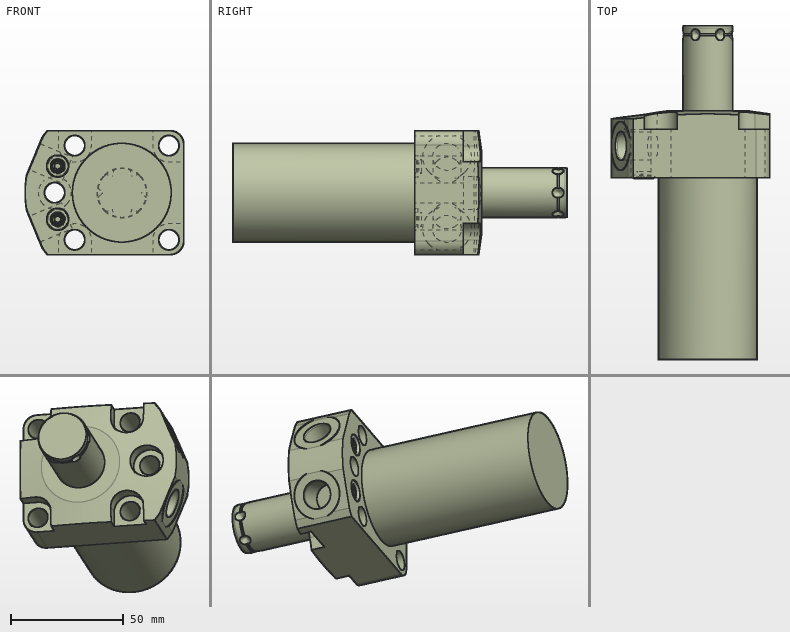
import cadquery as cq
import math


total_length = 149.0
body_length = 81.0
body_radius = 22.0
flange_thickness = 30.0
rod_length = total_length - body_length - flange_thickness
rod_radius = 11.2

flange_half_height = 27.7
flange_right = 27.7
flange_turned_radius = 43.2
corner_radius = 6.3
port_angle = 22.5
port_face_half_angle = 12.0
port_face_distance = flange_turned_radius * math.cos(math.radians(port_face_half_angle))

dome_flat_radius = 17.9
dome_slope = 8.0

mount_offset = 21.0
side_hole_x = -30.0
mount_hole_radius = 4.5
spotface_radius = 7.3
spotface_depth = 8.2

port_y = 14.3
port_spotface_radius = 10.9
port_spotface_depth = 0.3
port_radius = 6.3
port_lead_in_width = 0.22
port_lead_in_depth = 0.7
port_depth = 15.3

plug_distance = 31.0
plug_bore_radius = 4.9
plug_bore_depth = 1.3
ring_tube_radius = 0.9
ring_clearance = 0.07
ring_protrusion = 0.3
plug_gap_radius = 3.1
plug_gap_depth = 3.0
plug_head_radius = 2.8
plug_head_recess = 0.6
plug_head_chamfer = 0.6
socket_sides = 6
socket_width = 2.7
socket_depth = 1.2

rod_chamfer_length = 1.0
rod_chamfer_width = 0.3
dimple_count = 6
dimple_radius = 2.5
dimple_from_end = 4.0
groove_width = 0.9
groove_depth = 0.3

rod_end = flange_thickness + rod_length


def cylinder_y(x, z, radius, y_start, y_end):
    """Cylinder parallel to Y between two Y positions."""
    return cq.Workplane(cq.Solid.makeCylinder(
        radius, y_end - y_start, cq.Vector(x, y_start, z), cq.Vector(0, 1, 0)))


def make_flange():
    """Plate with two inclined port faces, turned on the outside and on the rear."""
    slope = math.radians(port_angle)

    def port_face_x(z):
        return -(port_face_distance - z * math.sin(slope)) / math.cos(slope)

    outline = (
        cq.Workplane("XZ")
        .polyline([
            (flange_right, -flange_half_height),
            (flange_right, flange_half_height),
            (port_face_x(flange_half_height), flange_half_height),
            (port_face_x(0), 0),
            (port_face_x(flange_half_height), -flange_half_height),
        ])
        .close()
        .extrude(-flange_thickness)
        .edges("|Y and >X").fillet(corner_radius)
    )
    dome_drop = (flange_turned_radius - dome_flat_radius) * math.tan(math.radians(dome_slope))
    turned = (
        cq.Workplane("XY")
        .polyline([
            (0, 0),
            (flange_turned_radius, 0),
            (flange_turned_radius, flange_thickness - dome_drop),
            (dome_flat_radius, flange_thickness),
            (0, flange_thickness),
        ])
        .close()
        .revolve(360, (0, 0, 0), (0, 1, 0))
    )
    return outline.intersect(turned)


def spotface_box(x_start, x_end, z_start, z_end):
    """Block from the spotface floors to the rear of the flange."""
    return cq.Workplane("XY").box(
        x_end - x_start, spotface_depth, z_end - z_start, centered=False
    ).translate((x_start, flange_thickness - spotface_depth, z_start))


def cut_mounting_holes(flange):
    """Through holes, spotfaced from the rear; the corner spotfaces run out through the sides."""
    holes = [(x, z) for x in (-mount_offset, mount_offset) for z in (-mount_offset, mount_offset)]
    holes.append((side_hole_x, 0))
    for x, z in holes:
        flange = flange.cut(cylinder_y(x, z, mount_hole_radius, 0, flange_thickness))
        flange = flange.cut(cylinder_y(
            x, z, spotface_radius, flange_thickness - spotface_depth, flange_thickness))

    left_run_out = spotface_box(
        -mount_offset - spotface_radius, -mount_offset + spotface_radius,
        mount_offset, flange_half_height)
    right_run_out = spotface_box(
        mount_offset - spotface_radius, flange_right, mount_offset, flange_half_height
    ).union(spotface_box(
        mount_offset, flange_right, mount_offset - spotface_radius, flange_half_height))
    for run_out in (left_run_out, right_run_out):
        flange = flange.cut(run_out).cut(run_out.mirror("XY"))
    return flange


def cut_port(flange, side):
    """Blind port with a tapered mouth and a shallow spotface; side is +1 or -1 along Z."""
    angle = math.radians(port_angle)
    inward = cq.Vector(math.cos(angle), 0, -side * math.sin(angle))
    floor_distance = port_face_distance - port_spotface_depth
    spotface_floor = inward * -floor_distance + cq.Vector(0, port_y, 0)
    spotface = cq.Solid.makeCylinder(port_spotface_radius, flange_thickness, spotface_floor, inward * -1)
    port = cq.Solid.makeCylinder(port_radius, port_depth, spotface_floor, inward)
    lead_in = cq.Solid.makeCone(
        port_radius + port_lead_in_width, port_radius, port_lead_in_depth, spotface_floor, inward)
    for cutter in (spotface, port, lead_in):
        flange = flange.cut(cq.Workplane(cutter))
    return flange


def add_plug(flange, side):
    """Bore in the mounting face holding a sealing ring and a socket-head plug screw."""
    angle = math.radians(port_angle)
    x = -plug_distance * math.cos(angle)
    z = side * plug_distance * math.sin(angle)
    flange = flange.cut(cylinder_y(x, z, plug_bore_radius, 0, plug_bore_depth))
    flange = flange.cut(cylinder_y(x, z, plug_gap_radius, 0, plug_gap_depth))

    ring = cq.Solid.makeTorus(
        plug_bore_radius - ring_clearance - ring_tube_radius, ring_tube_radius,
        cq.Vector(x, ring_tube_radius - ring_protrusion, z), cq.Vector(0, 1, 0))
    socket = (
        cq.Workplane("XZ", origin=(x, plug_head_recess, z))
        .polygon(socket_sides, socket_width, circumscribed=True)
        .extrude(-socket_depth)
    )
    head = (
        cylinder_y(x, z, plug_head_radius, plug_head_recess, plug_gap_depth)
        .faces("<Y").chamfer(plug_head_chamfer)
        .cut(socket)
    )
    return flange.union(cq.Workplane(ring)).union(head)


def make_rod():
    """Rod with a chamfered end, a shallow groove and conical dimples around it."""
    groove_y = rod_end - dimple_from_end
    rod = (
        cq.Workplane("XY")
        .polyline([
            (0, flange_thickness),
            (rod_radius, flange_thickness),
            (rod_radius, groove_y - groove_width / 2),
            (rod_radius - groove_depth, groove_y - groove_width / 2),
            (rod_radius - groove_depth, groove_y + groove_width / 2),
            (rod_radius, groove_y + groove_width / 2),
            (rod_radius, rod_end - rod_chamfer_length),
            (rod_radius - rod_chamfer_width, rod_end),
            (0, rod_end),
        ])
        .close()
        .revolve(360, (0, 0, 0), (0, 1, 0))
    )
    dimple = cq.Workplane(cq.Solid.makeCone(
        0, 2 * dimple_radius, 2 * dimple_radius,
        cq.Vector(rod_radius - dimple_radius, groove_y, 0), cq.Vector(1, 0, 0)))
    for i in range(dimple_count):
        rod = rod.cut(dimple.rotate((0, 0, 0), (0, 1, 0), i * 360 / dimple_count))
    return rod


flange = cut_mounting_holes(make_flange())
for side in (1, -1):
    flange = cut_port(flange, side)
    flange = add_plug(flange, side)

body = cylinder_y(0, 0, body_radius, -body_length, 0)
result = flange.union(body).union(make_rod())